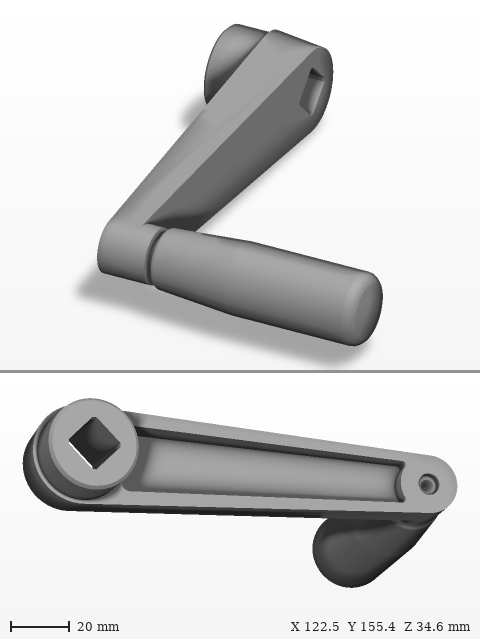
import cadquery as cq
import math

arm_length = 125.0
hub_thickness = 17.9
tip_thickness = 11.7
hub_end_radius = 15.5
side_draft = 0.1
blank_depth = 20.2

hub_radius = 16.0
hub_front = -33.7
hub_chamfer = 1.1
square_side = 14.0
square_corner_cut = 1.1

boss_radius = 10.1
boss_height = 6.4

web_thickness = 4.7
rim_thickness = 3.3
pocket_hub_radius = 16.5
hub_corner_radius = 3.0
tip_corner_radius = 1.2

bore_radius = 3.7

spindle_recess = 2.6
spindle_chamfer = 0.6
center_hole_radius = 2.2
center_hole_depth = 3.7
neck_radius = 6.7
grip_start = 8.4
grip_start_radius = 10.7
grip_radius = 13.0
taper_end = 38.7
grip_tip = 88.8
dome_radius = 37.3
grip_start_fillet = 2.0
grip_end_fillet = 4.0

LARGE = 2 * arm_length


def arm_outline(x, big_radius, small_radius):
    """Closed outline at the given X: two end arcs joined by their common tangents."""
    lean = (big_radius - small_radius) / arm_length
    across = math.sqrt(1 - lean ** 2)
    big_y, big_z = -big_radius * lean, big_radius * across
    small_y, small_z = -arm_length - small_radius * lean, small_radius * across
    return (
        cq.Workplane("YZ", origin=(x, 0, 0))
        .moveTo(small_y, small_z)
        .lineTo(big_y, big_z)
        .threePointArc((big_radius, 0), (big_y, -big_z))
        .lineTo(small_y, -small_z)
        .threePointArc((-arm_length - small_radius, 0), (small_y, small_z))
        .close()
    )


def x_cylinder(radius, start, end, y=0):
    """Cylinder along X between two X positions."""
    return cq.Workplane("YZ", origin=(start, y, 0)).circle(radius).extrude(end - start)


def make_arm_blank():
    """Drafted arm whose front face slopes down to a flat at the handle end."""
    front_radius = hub_end_radius + side_draft * blank_depth
    front_wire = arm_outline(-blank_depth, front_radius, boss_radius).val()
    back_wire = arm_outline(0, hub_end_radius, boss_radius).val()
    blank = cq.Workplane(obj=cq.Solid.makeLoft([front_wire, back_wire], True))

    slope = (hub_thickness - tip_thickness) / arm_length
    far_thickness = hub_thickness + slope * arm_length
    side_profile = (
        cq.Workplane("XY", origin=(0, 0, -LARGE / 2))
        .polyline([
            (0, arm_length),
            (-far_thickness, arm_length),
            (-tip_thickness, -arm_length),
            (-tip_thickness, -LARGE),
            (0, -LARGE),
        ])
        .close()
        .extrude(LARGE)
    )
    return blank.intersect(side_profile)


def make_pocket():
    """Recess inside the arm rim, bounded by the hub and the boss."""
    pocket = arm_outline(
        -blank_depth, hub_end_radius - rim_thickness, boss_radius - rim_thickness
    ).extrude(blank_depth - web_thickness)
    pocket = pocket.cut(x_cylinder(pocket_hub_radius, -LARGE, LARGE))
    pocket = pocket.cut(x_cylinder(boss_radius, -LARGE, LARGE, -arm_length))
    pocket = cq.Workplane(obj=max(pocket.solids().vals(), key=lambda piece: piece.Volume()))
    middle = -arm_length / 2
    hub_corners = cq.selectors.BoxSelector((-LARGE, middle, -LARGE), (LARGE, LARGE, LARGE))
    tip_corners = cq.selectors.BoxSelector((-LARGE, -LARGE, -LARGE), (LARGE, middle, LARGE))
    pocket = pocket.edges("|X").edges(hub_corners).fillet(hub_corner_radius)
    return pocket.edges("|X").edges(tip_corners).edges("<Y").fillet(tip_corner_radius)


def make_crank():
    """Arm with its hub, boss, square hole and spindle bore."""
    hub = x_cylinder(hub_radius, hub_front, -hub_thickness / 2).faces("<X").edges().chamfer(hub_chamfer)
    boss = x_cylinder(boss_radius, -tip_thickness, boss_height, -arm_length)
    square_hole = (
        cq.Workplane("YZ", origin=(hub_front, 0, 0))
        .transformed(rotate=(0, 0, 45))
        .rect(square_side, square_side)
        .extrude(-hub_front)
        .edges("|X")
        .chamfer(square_corner_cut)
    )
    bore = x_cylinder(bore_radius, -blank_depth, boss_height, -arm_length)
    crank = make_arm_blank().cut(make_pocket()).union(hub).union(boss)
    return crank.cut(square_hole).cut(bore)


def make_handle():
    """Domed grip, neck and spindle turned as one piece."""
    spindle_start = -tip_thickness + spindle_recess
    dome_edge = grip_tip - dome_radius + math.sqrt(dome_radius ** 2 - grip_radius ** 2)
    half_radius = grip_radius / 2
    dome_middle = grip_tip - dome_radius + math.sqrt(dome_radius ** 2 - half_radius ** 2)
    handle = (
        cq.Workplane("XY", origin=(0, -arm_length, 0))
        .moveTo(spindle_start + center_hole_depth, 0)
        .lineTo(spindle_start, center_hole_radius)
        .lineTo(spindle_start, bore_radius - spindle_chamfer)
        .lineTo(spindle_start + spindle_chamfer, bore_radius)
        .lineTo(boss_height, bore_radius)
        .lineTo(boss_height, neck_radius)
        .lineTo(grip_start, neck_radius)
        .lineTo(grip_start, grip_start_radius)
        .lineTo(taper_end, grip_radius)
        .lineTo(dome_edge, grip_radius)
        .threePointArc((dome_middle, half_radius), (grip_tip, 0))
        .close()
        .revolve(360, (0, 0, 0), (1, 0, 0))
    )
    grip_edges = cq.selectors.RadiusNthSelector(-2)
    grip_start_edges = cq.selectors.RadiusNthSelector(-3)
    handle = handle.edges(grip_start_edges).fillet(grip_start_fillet)
    return handle.edges(grip_edges).edges(">X").fillet(grip_end_fillet)


crank = make_crank()
handle = make_handle()
result = cq.Compound.makeCompound([crank.val(), handle.val()])